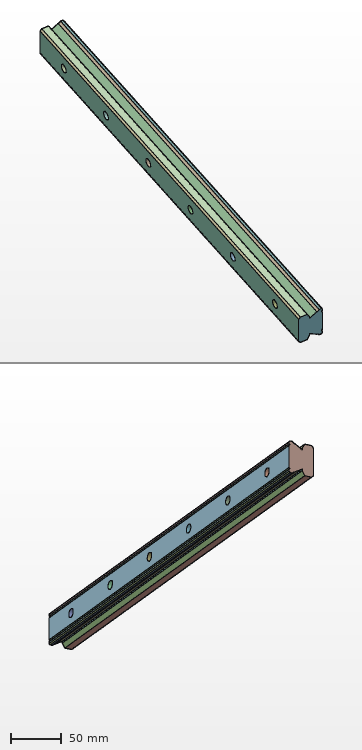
import math

import cadquery as cq

LENGTH = 490.0
HEIGHT = 27.5
WIDTH = 34.0

BASE_CHAMFER = 2.0
BASE_TOP_Y = -3.9

FLANK_ANGLE = math.radians(30)
RELIEF_WALL_Y = -1.1
GROOVE_BOTTOM_Z = 10.4

TRACK_LOW_Y = 7.1
TRACK_HIGH_Y = 9.8
TRACK_SAG = 0.5
HEAD_CHAMFER = 1.2
NOTCH_CENTER_Z = 12.8
NOTCH_HALF_WIDTH = 1.0
NOTCH_DEPTH = 1.0

HOLE_DIAMETER = 9.0
HOLE_PITCH = 80.0
HOLE_COUNT = 6

half_height = HEIGHT / 2
half_width = WIDTH / 2


def base_corners():
    """(Y, Z) corners from the base face up to the start of the ball track."""
    bevel_drop = (RELIEF_WALL_Y - BASE_TOP_Y) / math.tan(FLANK_ANGLE)
    flank_rise = (TRACK_LOW_Y - RELIEF_WALL_Y) * math.tan(FLANK_ANGLE)
    return [
        (-half_height, half_width - BASE_CHAMFER),
        (-half_height + BASE_CHAMFER, half_width),
        (BASE_TOP_Y, half_width),
        (RELIEF_WALL_Y, half_width - bevel_drop),
        (RELIEF_WALL_Y, GROOVE_BOTTOM_Z),
        (TRACK_LOW_Y, GROOVE_BOTTOM_Z + flank_rise),
    ]


def head_corners():
    """(Y, Z) corners from the top of the ball track to the head face."""
    return [
        (TRACK_HIGH_Y, half_width),
        (half_height - HEAD_CHAMFER, half_width),
        (half_height, half_width - HEAD_CHAMFER),
        (half_height, NOTCH_CENTER_Z + NOTCH_HALF_WIDTH),
        (half_height - NOTCH_DEPTH, NOTCH_CENTER_Z),
        (half_height, NOTCH_CENTER_Z - NOTCH_HALF_WIDTH),
    ]


def mirrored(corners):
    """The same corners on the -Z side, in reverse order."""
    return [(y, -z) for y, z in reversed(corners)]


def rail_body():
    """Section symmetric about Z = 0, extruded along X and centred on the origin."""
    base = base_corners()
    head = head_corners()
    section = (
        cq.Workplane("YZ")
        .polyline(base)
        .sagittaArc(head[0], -TRACK_SAG)
        .polyline(head[1:] + mirrored(head), includeCurrent=True)
        .sagittaArc(mirrored(base)[0], -TRACK_SAG)
        .polyline(mirrored(base)[1:], includeCurrent=True)
        .close()
    )
    return section.extrude(LENGTH / 2, both=True)


def mounting_holes():
    """Row of plain through holes along Y, evenly spaced and centred on the length."""
    row = cq.Workplane("XZ").rarray(HOLE_PITCH, 1, HOLE_COUNT, 1)
    return row.circle(HOLE_DIAMETER / 2).extrude(HEIGHT, both=True)


result = rail_body().cut(mounting_holes())